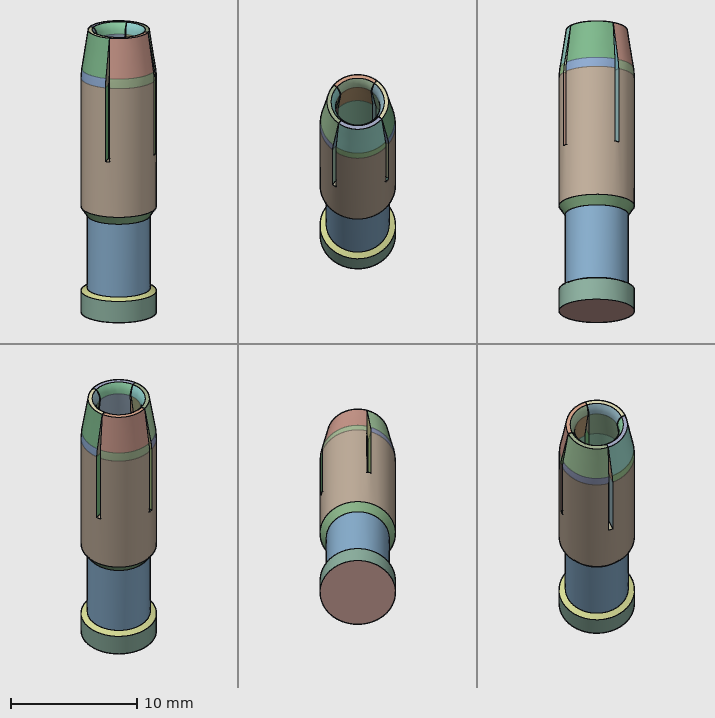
import cadquery as cq
import math

length = 23.4
body_radius = 3.0
neck_radius = 2.5
tip_radius = 2.43
flange_edge_height = 1.78
flange_height = 2.0
shoulder_bottom = 8.03
shoulder_top = 8.75
bend_bottom = 19.42
bend_top = 20.2

wall = 0.87
bore_radius = body_radius - wall
throat_radius = 1.75
mouth_radius = 2.1
mouth_depth = 0.91
bore_bottom = 11.7
drill_point_angle = 118.0

slot_bottom = 13.31
slot_width = 0.35
slot_tip_width = 0.02



def make_body():
    bend_height = bend_top - bend_bottom
    lean = math.atan2(body_radius - tip_radius, length - bend_bottom - bend_height / 2)
    bend_radius = bend_height / math.sin(lean)
    bend_mid = (
        body_radius - bend_radius * (1 - math.cos(lean / 2)),
        bend_bottom + bend_radius * math.sin(lean / 2),
    )
    bend_end = (body_radius - bend_radius * (1 - math.cos(lean)), bend_top)
    profile = (
        cq.Workplane("XZ")
        .lineTo(body_radius, 0)
        .lineTo(body_radius, flange_edge_height)
        .lineTo(neck_radius, flange_height)
        .lineTo(neck_radius, shoulder_bottom)
        .lineTo(body_radius, shoulder_top)
        .lineTo(body_radius, bend_bottom)
        .threePointArc(bend_mid, bend_end)
        .lineTo(tip_radius, length)
        .lineTo(0, length)
        .close()
    )
    return profile.revolve(360, (0, 0, 0), (0, 1, 0))


def make_bore():
    """Drilled hole that narrows with the fingers and flares out at a rounded mouth."""
    point_depth = bore_radius / math.tan(math.radians(drill_point_angle / 2))
    flare = mouth_radius - throat_radius
    mouth_arc_radius = (mouth_depth**2 + flare**2) / (2 * flare)
    half_sweep = math.asin(mouth_depth / mouth_arc_radius) / 2
    throat_height = length - mouth_depth
    mouth_mid = (
        throat_radius + mouth_arc_radius * (1 - math.cos(half_sweep)),
        throat_height + mouth_arc_radius * math.sin(half_sweep),
    )
    profile = (
        cq.Workplane("XZ")
        .moveTo(0, bore_bottom - point_depth)
        .lineTo(bore_radius, bore_bottom)
        .lineTo(bore_radius, bend_bottom)
        .lineTo(throat_radius, throat_height)
        .threePointArc(mouth_mid, (mouth_radius, length))
        .lineTo(0, length)
        .close()
    )
    return profile.revolve(360, (0, 0, 0), (0, 1, 0))


def make_slot():
    """Slot right across the socket along Y, closing toward the tip."""
    outline = [
        (-slot_width / 2, slot_bottom),
        (slot_width / 2, slot_bottom),
        (slot_width / 2, bend_bottom),
        (slot_tip_width / 2, length),
        (-slot_tip_width / 2, length),
        (-slot_width / 2, bend_bottom),
    ]
    return cq.Workplane("XZ").polyline(outline).close().extrude(body_radius, both=True)


result = make_body().cut(make_bore())
for slot_angle in (0, 90):
    result = result.cut(make_slot().rotate((0, 0, 0), (0, 0, 1), slot_angle))